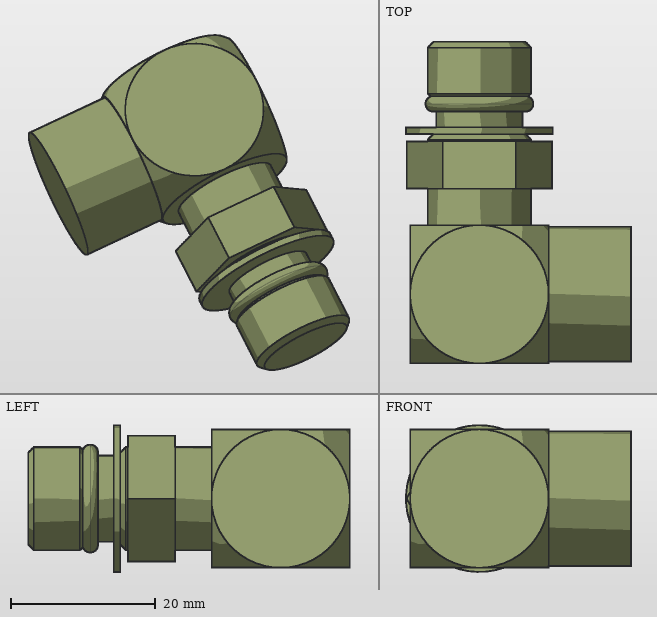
import cadquery as cq
import math

block_size = 19.1
block_half = block_size / 2
sphere_radius = block_half * math.sqrt(2)

washer_diameter = 20.3
washer_thickness = 0.95

outlet_diameter = 18.65
overall_width = 31.1
outlet_end = overall_width - washer_diameter / 2

stem_diameter = 14.3
groove_diameter = 11.95
stem_end = 34.9
tip_chamfer = 0.8
tip_start = 27.1
tip_rear_chamfer = 0.62

nut_start = 14.6
nut_end = 21.1
nut_across_flats = 17.42
shoulder_end = 22.15
shoulder_chamfer = 0.75

ring_outer_diameter = 14.95
ring_section = 2.2
ring_station = 26.3


def cylinder_y(diameter, start, end):
    """Cylinder on the Y axis between two stations."""
    plane = cq.Workplane("XZ", origin=(0, start, 0))
    return plane.circle(diameter / 2).extrude(start - end)


def make_block():
    cube = cq.Workplane("XY").box(block_size, block_size, block_size)
    return cube.intersect(cq.Workplane("XY").sphere(sphere_radius))


def make_outlet():
    return cq.Workplane("YZ").circle(outlet_diameter / 2).extrude(outlet_end)


def make_stem():
    rear = cylinder_y(stem_diameter, 0, shoulder_end)
    rear = rear.faces(">Y").chamfer(shoulder_chamfer)
    groove = cylinder_y(groove_diameter, 0, stem_end - tip_chamfer)
    tip = cylinder_y(stem_diameter, tip_start, stem_end)
    tip = tip.faces(">Y").chamfer(tip_chamfer)
    tip = tip.faces("<Y").chamfer(tip_rear_chamfer)
    return rear.union(groove).union(tip)


def make_nut():
    across_corners = nut_across_flats / math.cos(math.pi / 6)
    plane = cq.Workplane("XZ", origin=(0, nut_start, 0))
    return plane.polygon(6, across_corners).extrude(nut_start - nut_end)


def make_ring():
    ring_centre_radius = (ring_outer_diameter - ring_section) / 2
    profile = cq.Workplane("XY").center(ring_centre_radius, ring_station).circle(ring_section / 2)
    return profile.revolve(360, (-ring_centre_radius, 0), (-ring_centre_radius, 1))


washer = cylinder_y(washer_diameter, shoulder_end, shoulder_end + washer_thickness)

result = make_block()
for piece in (make_outlet(), make_stem(), make_nut(), washer, make_ring()):
    result = result.union(piece)